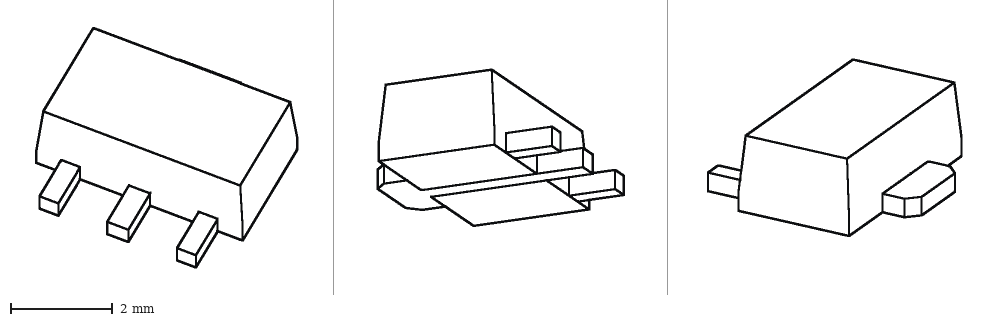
import cadquery as cq

housing_length = 4.5
housing_width = 2.5
housing_height = 1.6
top_inset = 0.105

lead_thickness = 0.4
lead_reach = 1.0
lead_pitch = 1.5
side_lead_width = 0.415
center_lead_width = 0.465

tab_width = 1.825
tab_reach = 0.745
tab_chamfer = 0.248

front_face = -housing_width / 2
rear_face = housing_width / 2


def make_bar(center_x, width, y_start, y_end):
    """Flat bar of lead thickness lying on Z = 0 and running along Y."""
    return (
        cq.Workplane("XY")
        .box(width, y_end - y_start, lead_thickness, centered=(True, False, False))
        .translate((center_x, y_start, 0))
    )


def make_side_lead(center_x):
    """Outer lead that butts against the front face of the housing."""
    return make_bar(center_x, side_lead_width, front_face - lead_reach, front_face)


def make_center_lead():
    """Middle lead running under the housing into the chamfered rear tab."""
    strip = make_bar(0, center_lead_width, front_face - lead_reach, rear_face)
    tab = make_bar(0, tab_width, rear_face, rear_face + tab_reach)
    tab = tab.faces(">Y").edges("|Z").chamfer(tab_chamfer)
    return strip.union(tab)


def make_housing(center_lead):
    """Straight base with a tapered upper part, slotted for the center lead."""
    base = cq.Workplane("XY").box(
        housing_length, housing_width, lead_thickness, centered=(True, True, False)
    )
    upper = (
        cq.Workplane("XY", origin=(0, 0, lead_thickness))
        .rect(housing_length, housing_width)
        .workplane(offset=housing_height - lead_thickness)
        .rect(housing_length - 2 * top_inset, housing_width - 2 * top_inset)
        .loft(ruled=True)
    )
    return base.union(upper).cut(center_lead)


center_lead = make_center_lead()
housing = make_housing(center_lead)
side_leads = [make_side_lead(side * lead_pitch) for side in (-1, 1)]

result = cq.Compound.makeCompound(
    [housing.solids().val(), center_lead.solids().val(), *[lead.val() for lead in side_leads]]
)